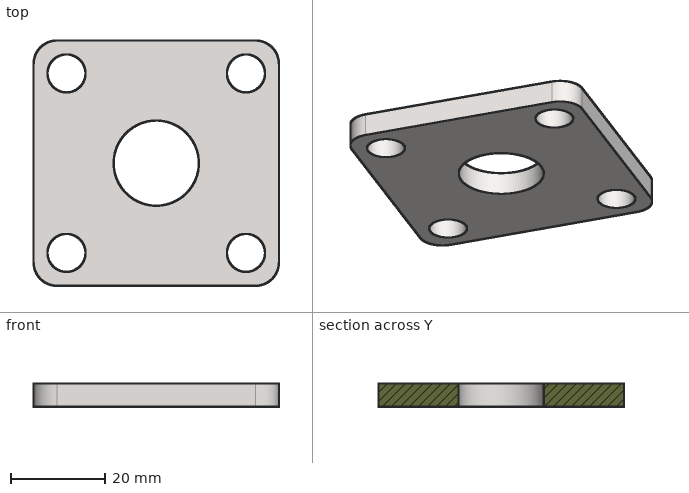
import cadquery as cq

plate_side = 52.0
plate_thickness = 5.0
corner_radius = 5.0

bore_diameter = 18.0
bolt_hole_diameter = 8.0
bolt_hole_pitch = 38.0


def make_plate():
    """Square plate centred on the origin, with rounded vertical corners."""
    plate = cq.Workplane("XY").box(plate_side, plate_side, plate_thickness)
    return plate.edges("|Z").fillet(corner_radius)


def cut_bore(plate):
    """Central bore through the plate."""
    return plate.faces(">Z").workplane().hole(bore_diameter)


def cut_bolt_holes(plate):
    """Four bolt holes through the plate, on a square pattern."""
    return (
        plate.faces(">Z")
        .workplane()
        .rect(bolt_hole_pitch, bolt_hole_pitch, forConstruction=True)
        .vertices()
        .hole(bolt_hole_diameter)
    )


result = cut_bolt_holes(cut_bore(make_plate()))